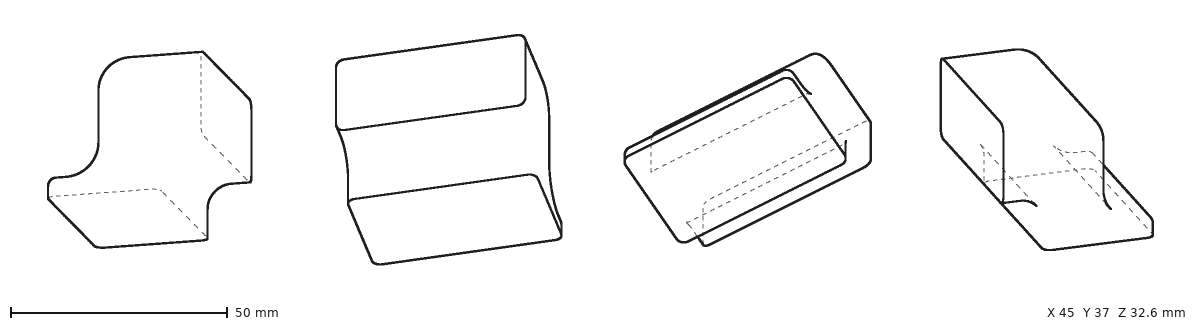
import cadquery as cq

width = 45.0
depth = 37.0
height = 32.6

foot_height = 5.0
step_face_y = 12.0
leg_back_y = 27.0
overhang_z = 12.6

bend_radius = 7.5
underside_radius = 5.5
edge_radius = 2.0


def stepped_body():
    """Extrude the foot, step and rear overhang along X, with sharp corners."""
    return (
        cq.Workplane("YZ")
        .moveTo(0, 0)
        .lineTo(0, foot_height)
        .lineTo(step_face_y, foot_height)
        .lineTo(step_face_y, height)
        .lineTo(depth, height)
        .lineTo(depth, overhang_z)
        .lineTo(leg_back_y, overhang_z)
        .lineTo(leg_back_y, 0)
        .close()
        .extrude(width / 2, both=True)
    )


def corner_selector(y, z):
    """Select the long edge running along X through (y, z)."""
    margin = 0.05
    return cq.selectors.BoxSelector(
        (-width, y - margin, z - margin),
        (width, y + margin, z + margin),
    )


def round_bends(body):
    """Round the three large bends of the profile."""
    bends = [
        (step_face_y, foot_height, bend_radius),
        (step_face_y, height, bend_radius),
        (leg_back_y, overhang_z, underside_radius),
    ]
    for y, z, radius in bends:
        body = body.edges("|X").edges(corner_selector(y, z)).fillet(radius)
    return body


def round_rims(body):
    """Round both end rims and the foot's top edge; the base and back stay sharp."""
    end_rims = body.faces("<X or >X").edges("not(<Z or >Y)")
    foot_edge = body.edges("|X").edges(corner_selector(0, foot_height))
    return end_rims.add(foot_edge).fillet(edge_radius)


result = round_rims(round_bends(stepped_body()))